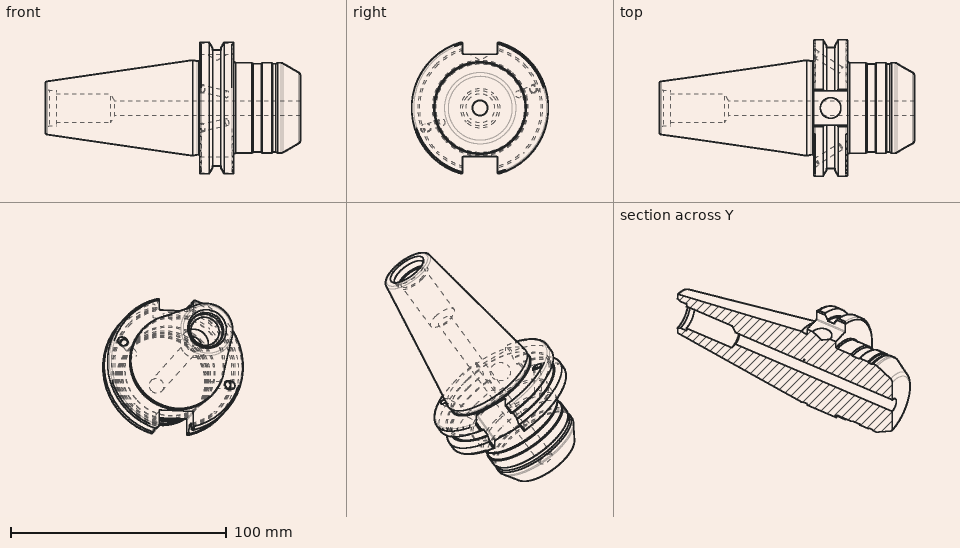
import cadquery as cq
import math

gauge_radius = 44.45 / 2
taper_length = 68.25
taper_ratio = 7 / 24
taper_end_radius = gauge_radius - taper_length * taper_ratio / 2
taper_end_fillet = 1.0
neck_radius = 43.6 / 2
neck_start = 1.85
neck_chamfer = 0.35

flange_start = 3.175
flange_width = 15.875
flange_end = flange_start + flange_width
flange_radius = 63.5 / 2
rim_fillet = 0.9
groove_center = flange_start + flange_width / 2
groove_half_width = 3.55
groove_floor_half_width = 1.9
groove_floor_radius = 56.2 / 2
groove_flank_angle = 30.0
groove_flank_width = groove_half_width - groove_floor_half_width
groove_flank_depth = groove_flank_width / math.tan(math.radians(groove_flank_angle))

body_radius = 42.0 / 2
body_end = 50.0
root_chamfer_length = 0.8
root_chamfer_rise = 0.4
ring_radius = 41.0 / 2
ring_ramp_angle = 30.0
ring_ramp_length = (body_radius - ring_radius) / math.tan(math.radians(ring_ramp_angle))
ring_shoulder_length = 0.35
rear_ring_start = 27.3
rear_ring_end = 32.2
front_ring_start = 36.7
front_ring_end = 39.45
nose_start = 41.3
nose_angle = 30.0
nose_end_radius = body_radius - (body_end - nose_start) * math.tan(math.radians(nose_angle))
nose_root_fillet = 1.5
nose_end_fillet = 2.0

slot_width = 16.1
upper_slot_floor = 25.0
lower_slot_floor = 22.6
slot_chamfer = 0.78
slot_floor_fillet = 0.4
dimple_diameter = 9.53
dimple_tip_angle = 118.0

through_diameter = 6.92
thread_diameter = 13.39
thread_depth = 30.0
counterbore_diameter = 16.3
counterbore_depth = 5.0
mouth_diameter = 18.3
mouth_depth = 1.8
drill_tip_angle = 118.0

coolant_radius = 27.0
coolant_position_angle = 20.0
coolant_tilt = 33.0
coolant_entry_diameter = 4.0
coolant_entry_depth = 1.7
coolant_diameter = 3.24
coolant_depth = 15.0


def tip_length(diameter, tip_angle):
    """Length of a drill tip of the given included angle."""
    return diameter / 2 / math.tan(math.radians(tip_angle / 2))


def revolve_about_x(points):
    """Revolve a closed (X, radius) outline about the X axis."""
    return cq.Workplane("XZ").polyline(points).close().revolve(360, (0, 0, 0), (1, 0, 0))


def shank():
    """Steep taper and the short neck that joins it to the flange."""
    outline = [
        (-taper_length, 0),
        (-taper_length, taper_end_radius),
        (0, gauge_radius),
        (neck_start, neck_radius),
        (flange_start - neck_chamfer, neck_radius),
        (flange_start, neck_radius + neck_chamfer),
        (flange_start, 0),
    ]
    return revolve_about_x(outline).faces("<X").edges().fillet(taper_end_fillet)


def flange():
    """Round flange with a V-groove whose floor has short straight walls."""
    flank_radius = flange_radius - groove_flank_depth
    outline = [
        (flange_start, 0),
        (flange_start, flange_radius),
        (groove_center - groove_half_width, flange_radius),
        (groove_center - groove_floor_half_width, flank_radius),
        (groove_center - groove_floor_half_width, groove_floor_radius),
        (groove_center + groove_floor_half_width, groove_floor_radius),
        (groove_center + groove_floor_half_width, flank_radius),
        (groove_center + groove_half_width, flange_radius),
        (flange_end, flange_radius),
        (flange_end, 0),
    ]
    return revolve_about_x(outline).faces("<X or >X").edges().fillet(rim_fillet)


def slot(floor, side):
    """Drive slot cutter with flared edges; side is +1 for the +Z slot and -1 for the -Z slot."""
    half = slot_width / 2
    flare_start = math.sqrt(flange_radius**2 - half**2) - slot_chamfer
    flare_rise = flange_radius - flare_start
    outline = [
        (-half, side * floor),
        (half, side * floor),
        (half, side * flare_start),
        (half + flare_rise, side * flange_radius),
        (-half - flare_rise, side * flange_radius),
        (-half, side * flare_start),
    ]
    cutter = cq.Workplane("YZ").workplane(offset=flange_start).polyline(outline).close()
    floor_face = "<Z" if side > 0 else ">Z"
    return cutter.extrude(flange_width).faces(floor_face).edges("|X").fillet(slot_floor_fillet)


def dimple():
    """Conical dimple in the floor of the +Z slot."""
    depth = tip_length(dimple_diameter, dimple_tip_angle)
    tip = cq.Vector(groove_center, 0, upper_slot_floor - depth)
    cone = cq.Solid.makeCone(0, dimple_diameter / 2, depth, tip, cq.Vector(0, 0, 1))
    return cq.Workplane(obj=cone)


def body():
    """Clamping body with two shallow ring grooves and a conical nose."""
    outline = [
        (flange_end, 0),
        (flange_end, body_radius + root_chamfer_rise),
        (flange_end + root_chamfer_length, body_radius),
        (rear_ring_start, body_radius),
        (rear_ring_start + ring_ramp_length, ring_radius),
        (rear_ring_end - ring_shoulder_length, ring_radius),
        (rear_ring_end, body_radius),
        (front_ring_start, body_radius),
        (front_ring_start + ring_shoulder_length, ring_radius),
        (front_ring_end - ring_ramp_length, ring_radius),
        (front_ring_end, body_radius),
        (nose_start, body_radius),
        (body_end, nose_end_radius),
        (body_end, 0),
    ]
    solid = revolve_about_x(outline)
    solid = solid.faces(">X").edges().fillet(nose_end_fillet)
    nose_edge = cq.selectors.NearestToPointSelector((nose_start, 0, 0))
    return solid.edges(nose_edge).fillet(nose_root_fillet)


def bore():
    """Stepped axial bore, widest at the small end of the taper."""
    through = through_diameter / 2
    thread = thread_diameter / 2
    counterbore = counterbore_diameter / 2
    cone_length = tip_length(thread_diameter - through_diameter, drill_tip_angle)
    outline = [
        (-taper_length, 0),
        (-taper_length, mouth_diameter / 2),
        (mouth_depth - taper_length, counterbore),
        (counterbore_depth - taper_length, counterbore),
        (counterbore_depth - taper_length, thread),
        (thread_depth - taper_length, thread),
        (thread_depth + cone_length - taper_length, through),
        (body_end, through),
        (body_end, 0),
    ]
    return revolve_about_x(outline)


def coolant_hole():
    """Stepped hole starting on the flange face at +Y and running inwards."""
    tilt = math.radians(coolant_tilt)
    entry = cq.Vector(flange_start, coolant_radius, 0)
    direction = cq.Vector(math.cos(tilt), -math.sin(tilt), 0)
    lead = coolant_entry_diameter
    start = entry - direction * lead
    wide = cq.Solid.makeCylinder(coolant_entry_diameter / 2, lead + coolant_entry_depth, start, direction)
    narrow = cq.Solid.makeCylinder(coolant_diameter / 2, coolant_depth, entry, direction)
    return cq.Workplane(obj=wide).union(cq.Workplane(obj=narrow))


result = shank().union(flange()).union(body())
result = result.cut(slot(upper_slot_floor, 1)).cut(slot(lower_slot_floor, -1)).cut(dimple())
result = result.cut(bore())
for turn in (0, 180):
    result = result.cut(coolant_hole().rotate((0, 0, 0), (1, 0, 0), coolant_position_angle + turn))